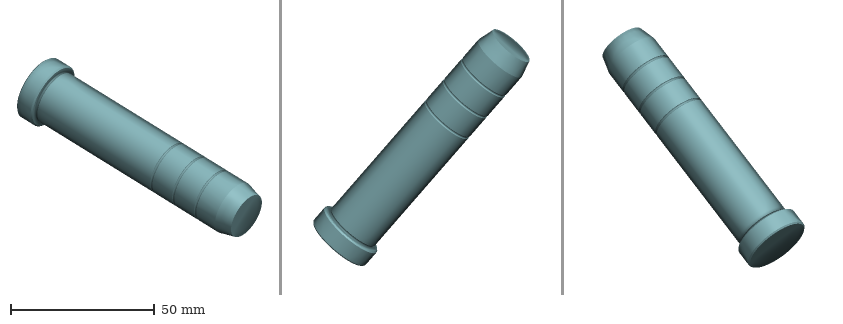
import math

import cadquery as cq

total_length = 95.0
shaft_diameter = 20.0
shaft_radius = shaft_diameter / 2

head_diameter = 24.0
head_thickness = 7.0
head_chamfer = 0.5

groove_radius = 0.5
undercut_x = head_thickness + groove_radius
first_oil_groove_x = 60.0
oil_groove_pitch = 10.0
oil_groove_count = 3

taper_length = 6.0
taper_angle = 15.0
tip_radius = shaft_radius - taper_length * math.tan(math.radians(taper_angle))


def make_head():
    """Disc with both rims chamfered."""
    return (
        cq.Workplane("YZ")
        .circle(head_diameter / 2)
        .extrude(head_thickness)
        .edges()
        .chamfer(head_chamfer)
    )


def make_shaft():
    """Revolve the shaft half-profile, taper included, about the X axis."""
    profile = [
        (0, 0),
        (0, shaft_radius),
        (total_length - taper_length, shaft_radius),
        (total_length, tip_radius),
        (total_length, 0),
    ]
    return cq.Workplane("XZ").polyline(profile).close().revolve(360, (0, 0), (1, 0))


def make_groove_ring(x):
    """Ring of circular section, centred on the shaft surface at the given X."""
    return (
        cq.Workplane("XZ")
        .center(x, shaft_radius)
        .circle(groove_radius)
        .revolve(360, (0, -shaft_radius), (1, -shaft_radius))
    )


result = make_shaft().cut(make_groove_ring(undercut_x))
for groove_index in range(oil_groove_count):
    groove_x = first_oil_groove_x + groove_index * oil_groove_pitch
    result = result.cut(make_groove_ring(groove_x))
result = result.union(make_head())